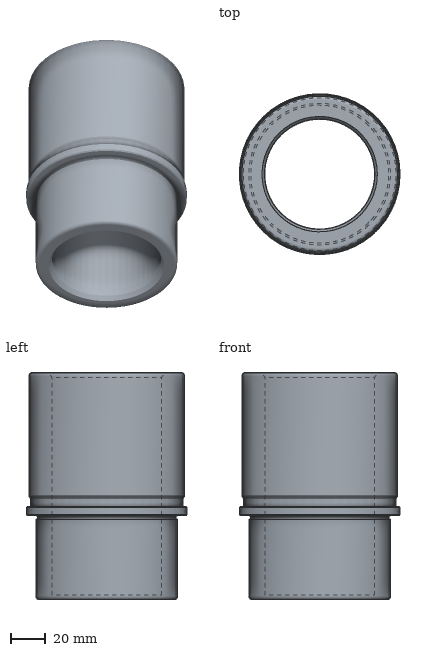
import cadquery as cq

total_height = 130.0
flange_bottom = 48.1
flange_height = 5.2
flange_top = flange_bottom + flange_height
body_bottom = 58.1

flange_diameter = 92.0
body_diameter = 89.2
neck_diameter = 87.5
spigot_diameter = 81.1
bore_diameter = 62.9

end_fillet = 2.0
flange_chamfer = 0.6
body_chamfer = 1.2
body_chamfer_depth = (body_diameter - neck_diameter) / 2
relief_radius = 1.0
bore_chamfer_width = 1.5
bore_chamfer_depth = 2.7


def cylinder(diameter, bottom, top):
    """Solid cylinder about Z between two levels."""
    return cq.Workplane("XY").workplane(offset=bottom).circle(diameter / 2).extrude(top - bottom)


def make_spigot():
    """Lower cylinder with a rounded bottom edge and a half-round relief below the flange."""
    spigot = cylinder(spigot_diameter, 0, flange_bottom).faces("<Z").edges().fillet(end_fillet)
    relief = (
        cq.Workplane("XZ")
        .center(spigot_diameter / 2, flange_bottom - relief_radius)
        .circle(relief_radius)
        .revolve(360, (-spigot_diameter / 2, 0, 0), (-spigot_diameter / 2, 1, 0))
    )
    return spigot.cut(relief)


def make_body():
    """Upper cylinder, rounded on top and chamfered down to the neck."""
    body = cylinder(body_diameter, body_bottom, total_height)
    body = body.faces(">Z").edges().fillet(end_fillet)
    return body.faces("<Z").edges().chamfer(body_chamfer, body_chamfer_depth)


def make_bore():
    """Through bore with a steep flared mouth at each end."""
    bore_radius = bore_diameter / 2
    mouth_radius = bore_radius + bore_chamfer_width
    return (
        cq.Workplane("XZ")
        .lineTo(mouth_radius, 0)
        .lineTo(bore_radius, bore_chamfer_depth)
        .lineTo(bore_radius, total_height - bore_chamfer_depth)
        .lineTo(mouth_radius, total_height)
        .lineTo(0, total_height)
        .close()
        .revolve(360, (0, 0, 0), (0, 1, 0))
    )


def make_flange():
    """Narrow collar with both rims chamfered."""
    return cylinder(flange_diameter, flange_bottom, flange_top).edges().chamfer(flange_chamfer)


neck = cylinder(neck_diameter, flange_top, body_bottom)
outside = make_spigot().union(make_flange()).union(neck).union(make_body())

result = outside.cut(make_bore())